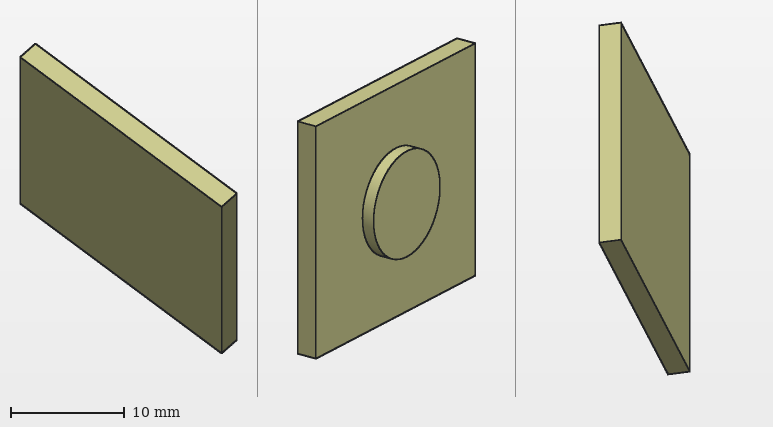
import cadquery as cq

PLATE_WIDTH = 24.0
PLATE_HEIGHT = 22.0
PLATE_THICKNESS = 2.0

DISC_DIAMETER = 10.0
DISC_THICKNESS = 1.2


def make_plate():
    """Plate centred on X and Z, with its front face at Y = 0."""
    return cq.Workplane("XY").box(
        PLATE_WIDTH, PLATE_THICKNESS, PLATE_HEIGHT, centered=(True, False, True)
    )


def make_disc():
    """Disc that touches the plate's back face and extends toward +Y."""
    return (
        cq.Workplane("XZ")
        .workplane(offset=-PLATE_THICKNESS)
        .circle(DISC_DIAMETER / 2)
        .extrude(-DISC_THICKNESS)
    )


plate = make_plate()
disc = make_disc()

result = cq.Compound.makeCompound([plate.val(), disc.val()])